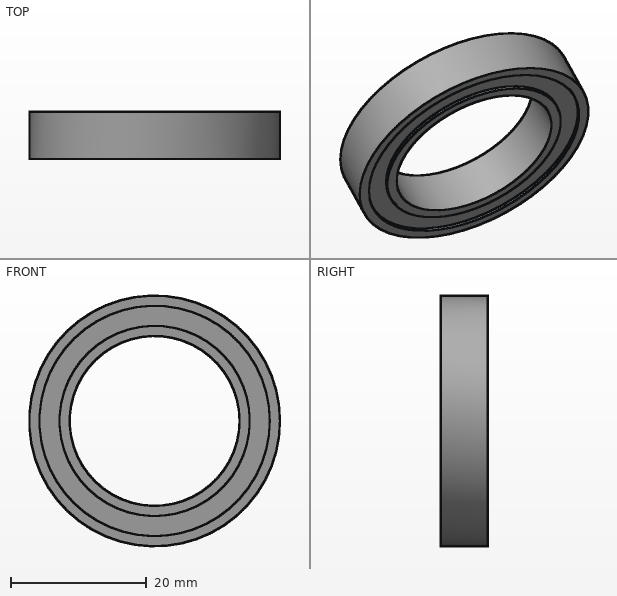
import cadquery as cq

outer_diameter = 37.0
bore_diameter = 25.0
width = 7.0

rim_thickness = 1.5
recess_depth = 0.48
recess_outer_diameter = outer_diameter - 2 * rim_thickness
recess_inner_diameter = bore_diameter + 2 * rim_thickness


def ring(outer, inner, start_y, length):
    """Ring around the Y axis, running from start_y toward +Y."""
    plane = cq.Workplane("XZ", origin=(0, start_y, 0))
    return plane.circle(outer / 2).circle(inner / 2).extrude(-length)


result = ring(outer_diameter, bore_diameter, -width / 2, width)

for recess_start in (-width / 2, width / 2 - recess_depth):
    recess = ring(recess_outer_diameter, recess_inner_diameter, recess_start, recess_depth)
    result = result.cut(recess)